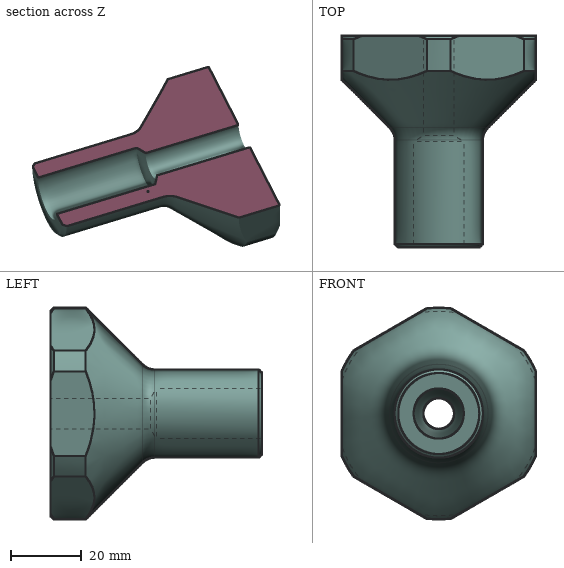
import cadquery as cq
import math

length = 60.0
head_diameter = 60.0
across_flats = 55.0
rim_height = 10.0
shank_diameter = 25.0
edge_chamfer = 1.0
neck_radius = 5.0

bore_diameter = 14.2
bore_depth = 30.0
drill_point_angle = 118.0
through_diameter = 8.65

head_radius = head_diameter / 2
shank_radius = shank_diameter / 2
head_face = length / 2
shank_end = -length / 2


def turned_body():
    """Revolve the head, 45 degree cone, neck blend and shank about Y."""
    cone_start = head_face - rim_height
    cone_angle = math.radians(45)
    middle_angle = cone_angle / 2
    neck_center_r = shank_radius + neck_radius
    cone_end_r = neck_center_r - neck_radius * math.cos(cone_angle)
    cone_end_y = cone_start - (head_radius - cone_end_r)
    neck_center_y = cone_end_y - neck_radius * math.sin(cone_angle)
    neck_mid = (
        neck_center_r - neck_radius * math.cos(middle_angle),
        neck_center_y + neck_radius * math.sin(middle_angle),
    )
    return (
        cq.Workplane("XY")
        .moveTo(0, shank_end)
        .lineTo(shank_radius - edge_chamfer, shank_end)
        .lineTo(shank_radius, shank_end + edge_chamfer)
        .lineTo(shank_radius, neck_center_y)
        .threePointArc(neck_mid, (cone_end_r, cone_end_y))
        .lineTo(head_radius, cone_start)
        .lineTo(head_radius, head_face - edge_chamfer)
        .lineTo(head_radius - edge_chamfer, head_face)
        .lineTo(0, head_face)
        .close()
        .revolve(360, (0, 0, 0), (0, 1, 0))
    )


def hexagon():
    """Hexagonal bar along Y with two flats facing +X and -X."""
    across_corners = across_flats / math.cos(math.radians(30))
    return (
        cq.Workplane("XZ", origin=(0, head_face, 0))
        .transformed(rotate=(0, 0, 30))
        .polygon(6, across_corners)
        .extrude(length)
    )


def stepped_bore():
    """Wide bore with a drill-point cone leading into the through hole."""
    bore_radius = bore_diameter / 2
    through_radius = through_diameter / 2
    cone_depth = (bore_radius - through_radius) / math.tan(math.radians(drill_point_angle / 2))
    bore_end = shank_end + bore_depth
    return (
        cq.Workplane("XY")
        .moveTo(0, shank_end)
        .lineTo(bore_radius, shank_end)
        .lineTo(bore_radius, bore_end)
        .lineTo(through_radius, bore_end + cone_depth)
        .lineTo(through_radius, head_face)
        .lineTo(0, head_face)
        .close()
        .revolve(360, (0, 0, 0), (0, 1, 0))
    )


result = turned_body().intersect(hexagon()).cut(stepped_bore())